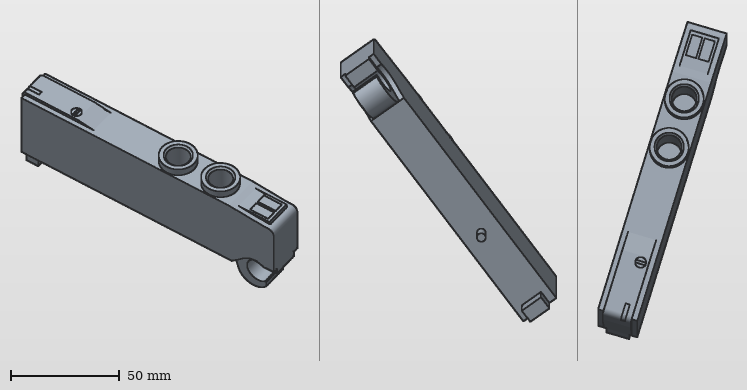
import cadquery as cq
import math

length = 143.8
body_width = 18.8
body_height = 36.2
core_width = 13.5

body_start = 1.6
ramp_start = 118.5
block_start = 137.8
block_top = 34.5
block_bottom = 6.9
block_round = 3.3

hook_start = 120.2
bore_x = 133.0
bore_z = -0.9
bore_radius = 6.2
relief_radius = 9.2
jaw_x = 130.5
jaw_z = -3.2
jaw_radius = 8.9
jaw_straight_x = 122.1
jaw_tip_z = -5.6
mouth_top = 3.9

cover_top = 37.7
cover_flat_end = 31.2
cover_end = 40.4
cover_break_z = 24.7
cover_round = 2.7

notch_length = 7.6
notch_width = 2.0
notch_y = -3.0
screw_x = 28.0
screw_y = -3.0
screw_diameter = 5.0
screw_slot_width = 1.3
screw_slot_depth = 0.7
engraving_depth = 0.1

port_positions = (83.3, 107.1)
port_diameter = 18.0
port_height = 3.9
port_bore = 11.5
port_chamfer = 1.0
port_depth = 17.3

panel_start = 122.1
panel_end = 139.5
panel_end_lean = 0.5
window_start = 127.7
window_length = 10.0
window_width = 4.9
window_spacing = 6.0

foot_length = 6.6
foot_width = 11.0
foot_height = 9.0
pin_x = 47.2
pin_diameter = 4.0
pin_length = 7.9


def extrude_across(outline, width):
    """Extrude an XZ outline symmetrically about the mid-plane Y = 0."""
    return outline.extrude(width / 2, both=True)


def box(x_start, x_size, y_center, y_size, z_bottom, z_size):
    """Box centred on y_center in Y and rising from z_bottom."""
    origin = (x_start, y_center, z_bottom)
    return cq.Workplane("XY", origin=origin).box(x_size, y_size, z_size, centered=(False, True, False))


def z_on_circle(x, center_x, center_z, radius, side):
    """Height of a circle at x, on its upper (side=1) or lower (side=-1) half."""
    return center_z + side * math.sqrt(radius**2 - (x - center_x) ** 2)


def x_on_circle(z, center_x, center_z, radius):
    """X of the right-hand half of a circle at height z."""
    return center_x + math.sqrt(radius**2 - (z - center_z) ** 2)


def make_housing():
    distance = math.hypot(bore_x - hook_start, bore_z)
    center_angle = math.atan2(bore_z, bore_x - hook_start)
    slope = center_angle + math.asin(relief_radius / distance)
    tangent_x = bore_x - relief_radius * math.sin(slope)
    tangent_z = bore_z + relief_radius * math.cos(slope)
    relief_end_z = z_on_circle(block_start, bore_x, bore_z, relief_radius, 1)

    outline = (
        cq.Workplane("XZ")
        .moveTo(body_start, 0)
        .lineTo(hook_start, 0)
        .lineTo(tangent_x, tangent_z)
        .threePointArc((bore_x, bore_z + relief_radius), (block_start, relief_end_z))
        .lineTo(block_start, block_bottom)
        .lineTo(length, block_bottom)
        .lineTo(length, block_top - block_round)
        .radiusArc((length - block_round, block_top), -block_round)
        .lineTo(block_start, block_top)
        .lineTo(ramp_start, body_height)
        .lineTo(body_start, body_height)
        .close()
    )
    return extrude_across(outline, body_width)


def make_hook():
    jaw_straight_z = z_on_circle(jaw_straight_x, jaw_x, jaw_z, jaw_radius, -1)
    jaw_end_z = z_on_circle(block_start, jaw_x, jaw_z, jaw_radius, -1)
    tip_x = x_on_circle(jaw_tip_z, bore_x, bore_z, bore_radius)
    mouth_x = x_on_circle(mouth_top, bore_x, bore_z, bore_radius)
    root_z = bore_z + 2 * relief_radius

    outline = (
        cq.Workplane("XZ")
        .moveTo(hook_start, 0)
        .lineTo(jaw_straight_x, jaw_straight_z)
        .threePointArc((jaw_x, jaw_z - jaw_radius), (block_start, jaw_end_z))
        .lineTo(block_start, jaw_tip_z)
        .lineTo(tip_x, jaw_tip_z)
        .threePointArc((bore_x - bore_radius, bore_z), (mouth_x, mouth_top))
        .lineTo(length, mouth_top)
        .lineTo(length, root_z)
        .lineTo(hook_start, root_z)
        .close()
    )
    return extrude_across(outline, core_width)


def cover_outline(inset):
    """Side outline of the end cover, with its top and end faces set in."""
    top = cover_top - inset
    radius = cover_round - inset
    return (
        cq.Workplane("XZ")
        .moveTo(cover_end, 0)
        .lineTo(body_start, 0)
        .lineTo(inset, cover_break_z)
        .lineTo(inset, top - radius)
        .radiusArc((cover_round, top), radius)
        .lineTo(cover_flat_end, top)
        .lineTo(cover_end, body_height)
        .close()
    )


def make_cover():
    cover = extrude_across(cover_outline(0), core_width)

    notch_bottom = cover_top - cover_round
    notch = box(0, notch_length, notch_y, notch_width, notch_bottom, cover_round)
    notch = notch.cut(extrude_across(cover_outline(engraving_depth), core_width))

    screw = (
        cq.Workplane("XY", origin=(screw_x, screw_y, cover_top))
        .circle(screw_diameter / 2)
        .extrude(-screw_slot_depth)
    )
    head = screw.translate((0, 0, screw_slot_depth - engraving_depth))
    slot = screw.intersect(
        box(
            screw_x - screw_slot_width / 2,
            screw_slot_width,
            screw_y,
            screw_diameter,
            cover_top - screw_slot_depth,
            screw_slot_depth,
        )
    )
    return cover.cut(notch).cut(head).cut(slot)


def make_panel():
    ramp_slope = (body_height - block_top) / (block_start - ramp_start)
    panel_top = body_height - (panel_start - ramp_start) * ramp_slope
    panel_bottom = block_top - block_round
    outline = (
        cq.Workplane("XZ")
        .moveTo(panel_start, panel_bottom)
        .lineTo(panel_start, panel_top)
        .lineTo(panel_end, panel_top)
        .lineTo(panel_end + panel_end_lean, block_top)
        .lineTo(panel_end, panel_bottom)
        .close()
    )
    panel = extrude_across(outline, core_width)
    window_bottom = panel_top - engraving_depth
    for side in (-1, 1):
        window_y = side * window_spacing / 2
        panel = panel.cut(
            box(window_start, window_length, window_y, window_width, window_bottom, engraving_depth)
        )
    return panel


def add_port(part, x):
    port_top = body_height + port_height
    mouth = cq.Workplane("XY", origin=(x, 0, port_top))
    collar = mouth.circle(port_diameter / 2).extrude(-port_height)
    bore = mouth.circle(port_bore / 2).extrude(-port_depth)
    countersink = (
        mouth.circle(port_bore / 2 + port_chamfer)
        .workplane(offset=-port_chamfer)
        .circle(port_bore / 2)
        .loft()
    )
    return part.union(collar).cut(bore).cut(countersink)


def make_foot():
    return box(body_start, foot_length, 0, foot_width, -foot_height, foot_height)


def make_pin():
    return cq.Workplane("XY").center(pin_x, 0).circle(pin_diameter / 2).extrude(-pin_length)


part = make_housing()
for feature in (make_hook(), make_panel(), make_cover(), make_foot(), make_pin()):
    part = part.union(feature)
for port_x in port_positions:
    part = add_port(part, port_x)

result = part